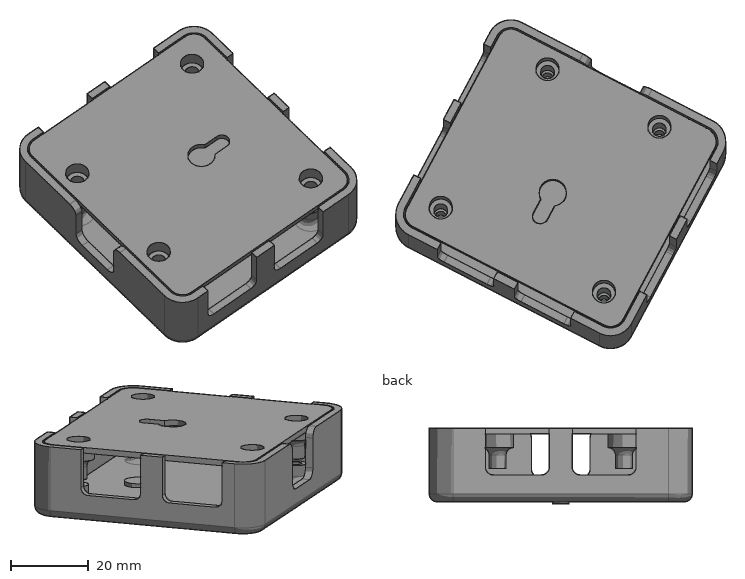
import cadquery as cq
import math

length = 67.8
width = 62.9
total_height = 19.5
button_protrusion = 0.55
housing_height = total_height - button_protrusion

wall = 2.05
floor_top = 2.0
corner_radius = 6.1
bottom_edge_radius = 2.05

window_width = 16.4
window_rib = 6.0
window_sill = 7.0
window_corner_radius = 2.0
window_pitch = window_width + window_rib
side_windows_center_y = -2.5

notch_width = 15.05
notch_sill = 6.05
notch_radius = 2.5

rear_screw_x = 23.7
rear_screw_y = 21.3
front_screw_x = 16.3
front_screw_y = -23.65
screw_positions = [
    (-rear_screw_x, rear_screw_y),
    (rear_screw_x, rear_screw_y),
    (-front_screw_x, front_screw_y),
    (front_screw_x, front_screw_y),
]
post_radius = 5.0 / 2
post_bore_radius = 2.8 / 2
post_top = 7.0
post_foot_radius = 2.1

lid_gap = 0.4
lid_thickness = 1.5
lid_bottom = housing_height - lid_thickness
lid_inset = wall + lid_gap
sleeve_gap = 1.6
sleeve_bottom = post_top + sleeve_gap
sleeve_radius = 4.4 / 2
sleeve_bore_diameter = 3.5
cup_fillet_radius = 1.9
cup_bottom = 14.0
cup_radius = sleeve_radius + cup_fillet_radius
counterbore_diameter = 6.0
counterbore_depth = 3.8

keyhole_diameter = 7.0
keyhole_y = 4.4
keyhole_slot_width = 4.0
keyhole_slot_travel = 6.9

button_y = 13.8
button_diameter = 4.3
button_hole_diameter = 4.4
button_flange_diameter = 7.0
button_flange_thickness = 1.0


def rounded_block(inset, bottom, top):
    """Block with the housing's outline moved inwards by inset."""
    return (
        cq.Workplane("XY", origin=(0, 0, bottom))
        .rect(length - 2 * inset, width - 2 * inset)
        .extrude(top - bottom)
        .edges("|Z")
        .fillet(corner_radius - inset)
    )


def cylinder(diameter, x, y, bottom, top):
    """Upright cylinder between two heights."""
    return cq.Workplane("XY", origin=(x, y, bottom)).circle(diameter / 2).extrude(top - bottom)


def revolved(profile, x, y):
    """Turn a radius-height profile about the vertical axis through (x, y)."""
    return profile.close().revolve(360, (0, 0), (0, 1)).translate((x, y, 0))


def fillet_midpoint(center_r, center_z, radius, z_sign):
    """Middle of a quarter arc on the axis side of its centre, above (+1) or below (-1) it."""
    offset = radius * math.sqrt(0.5)
    return (center_r - offset, center_z + z_sign * offset)


def window_pair():
    """Cutters for two windows side by side in the rear (+Y) wall, centred on X = 0."""
    window_height = housing_height - window_sill
    return (
        cq.Workplane("XZ", origin=(0, width / 2, window_sill + window_height / 2))
        .pushPoints([(-window_pitch / 2, 0), (window_pitch / 2, 0)])
        .rect(window_width, window_height)
        .extrude(wall)
        .edges("|Y and <Z")
        .fillet(window_corner_radius)
    )


def front_notch():
    """Cutter for the front notch: rounded bottom corners and a flared, rounded mouth."""
    half = notch_width / 2
    r = notch_radius
    mouth = half + r
    top = housing_height
    return (
        cq.Workplane("XZ", origin=(0, wall - width / 2, 0))
        .moveTo(-mouth, top)
        .radiusArc((-half, top - r), r)
        .lineTo(-half, notch_sill + r)
        .radiusArc((r - half, notch_sill), -r)
        .lineTo(half - r, notch_sill)
        .radiusArc((half, notch_sill + r), -r)
        .lineTo(half, top - r)
        .radiusArc((mouth, top), r)
        .close()
        .extrude(wall)
    )


def screw_post(x, y):
    """Bored post on the housing floor with a filleted foot."""
    foot = post_radius + post_foot_radius
    foot_top = floor_top + post_foot_radius
    profile = (
        cq.Workplane("XZ")
        .moveTo(post_bore_radius, floor_top)
        .lineTo(foot, floor_top)
        .threePointArc(fillet_midpoint(foot, foot_top, post_foot_radius, -1), (post_radius, foot_top))
        .lineTo(post_radius, post_top)
        .lineTo(post_bore_radius, post_top)
    )
    return revolved(profile, x, y)


def screw_sleeve(x, y):
    """Screw-head cup under the lid that narrows through a fillet to a sleeve; still solid inside."""
    fillet_end = cup_bottom - cup_fillet_radius
    profile = (
        cq.Workplane("XZ")
        .moveTo(0, sleeve_bottom)
        .lineTo(sleeve_radius, sleeve_bottom)
        .lineTo(sleeve_radius, fillet_end)
        .threePointArc(fillet_midpoint(cup_radius, fillet_end, cup_fillet_radius, 1), (cup_radius, cup_bottom))
        .lineTo(cup_radius, lid_bottom)
        .lineTo(0, lid_bottom)
    )
    return revolved(profile, x, y)


def make_housing():
    """Open box with windows, front notch, screw posts and a button hole."""
    body = rounded_block(0, 0, housing_height).faces("<Z").edges().fillet(bottom_edge_radius)
    body = body.cut(rounded_block(wall, floor_top, housing_height))
    body = body.cut(front_notch())
    body = body.cut(window_pair())
    to_side_wall = (length - width) / 2
    for side, turn in ((-1, 90), (1, -90)):
        windows = window_pair().rotate((0, 0, 0), (0, 0, 1), turn)
        body = body.cut(windows.translate((side * to_side_wall, side_windows_center_y, 0)))
    for x, y in screw_positions:
        body = body.union(screw_post(x, y))
    return body.cut(cylinder(button_hole_diameter, 0, button_y, 0, floor_top))


def keyhole():
    """Cutter for the round entry and the hanging slot above it."""
    slot_end_y = keyhole_y + keyhole_slot_travel
    entry = cylinder(keyhole_diameter, 0, keyhole_y, lid_bottom, housing_height)
    slot_end = cylinder(keyhole_slot_width, 0, slot_end_y, lid_bottom, housing_height)
    slot = (
        cq.Workplane("XY", origin=(0, (keyhole_y + slot_end_y) / 2, lid_bottom))
        .rect(keyhole_slot_width, keyhole_slot_travel)
        .extrude(lid_thickness)
    )
    return entry.union(slot).union(slot_end)


def make_lid():
    """Flat lid with a keyhole and counterbored screw sleeves."""
    body = rounded_block(lid_inset, lid_bottom, housing_height).cut(keyhole())
    for x, y in screw_positions:
        body = body.union(screw_sleeve(x, y))
    return (
        body.faces(">Z")
        .workplane(origin=(0, 0, housing_height))
        .pushPoints(screw_positions)
        .cboreHole(sleeve_bore_diameter, counterbore_diameter, counterbore_depth)
    )


def make_button():
    """Flanged button: the flange rests on the floor and the stem sticks out below."""
    stem = cylinder(button_diameter, 0, button_y, -button_protrusion, floor_top)
    flange_top = floor_top + button_flange_thickness
    return stem.union(cylinder(button_flange_diameter, 0, button_y, floor_top, flange_top))


housing = make_housing()
lid = make_lid()
button = make_button()

result = cq.Compound.makeCompound([housing.val(), lid.val(), button.val()])